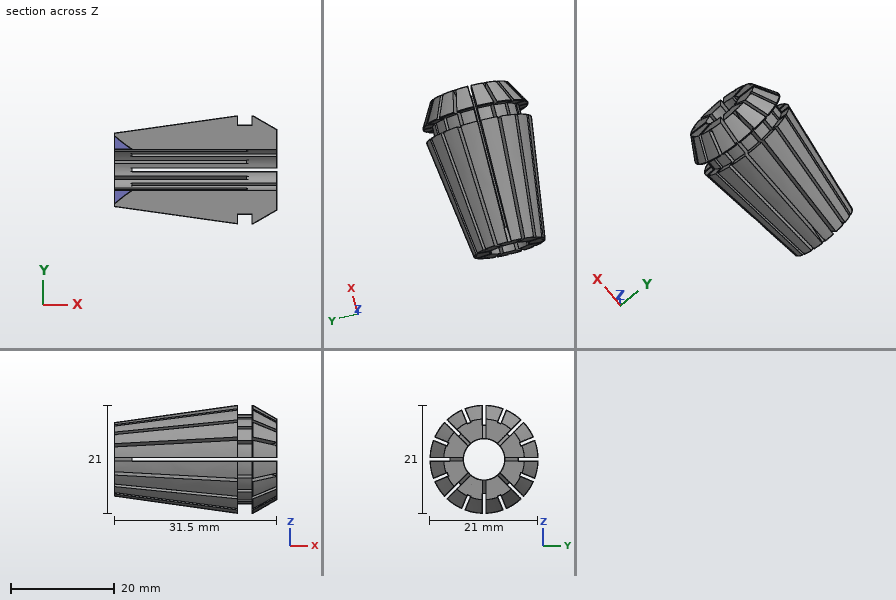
import cadquery as cq
import math

length = 31.5
outer_radius = 10.5
bore_radius = 4.0

body_length = 23.9
body_taper_angle = 8.0
neck_length = 2.77
neck_radius = 8.65
rim_width = 0.2
head_taper_angle = 30.0

slot_width = 0.7
slots_per_set = 8
saw_radius = 31.5
narrow_web_length = 3.45
narrow_web_radius = 6.65
wide_web_length = 5.9
wide_web_radius = 7.62

head_start = body_length + neck_length
head_taper_start = head_start + rim_width
narrow_radius = outer_radius - body_length * math.tan(math.radians(body_taper_angle))
wide_radius = outer_radius - (length - head_taper_start) * math.tan(math.radians(head_taper_angle))
slot_pitch = 360.0 / slots_per_set
slot_floor_radius = math.sqrt(bore_radius**2 - (slot_width / 2) ** 2)
clear_radius = outer_radius + slot_width


def collet_blank():
    """Revolve the wall between the bore and the outer profile around X."""
    return (
        cq.Workplane("XY")
        .moveTo(0, bore_radius)
        .lineTo(0, narrow_radius)
        .lineTo(body_length, outer_radius)
        .lineTo(body_length, neck_radius)
        .lineTo(head_start, neck_radius)
        .lineTo(head_start, outer_radius)
        .lineTo(head_taper_start, outer_radius)
        .lineTo(length, wide_radius)
        .lineTo(length, bore_radius)
        .close()
        .revolve(360, (0, 0, 0), (1, 0, 0))
    )


def slot_cutter(web_length, web_radius):
    """Slot-wide slab on +Y, with its web at X = 0 and open at the opposite end."""
    return (
        cq.Workplane("XY")
        .moveTo(0, web_radius)
        .radiusArc((web_length, slot_floor_radius), -saw_radius)
        .lineTo(web_length, 0)
        .lineTo(length, 0)
        .lineTo(length, clear_radius)
        .lineTo(0, clear_radius)
        .close()
        .extrude(slot_width / 2, both=True)
    )


def cut_slots(body, cutter, first_angle):
    """Cut the ring of equally spaced slots that starts at first_angle."""
    for index in range(slots_per_set):
        angle = first_angle + index * slot_pitch
        body = body.cut(cutter.rotate((0, 0, 0), (1, 0, 0), angle))
    return body


wide_end_slot = slot_cutter(narrow_web_length, narrow_web_radius)
narrow_end_slot = slot_cutter(wide_web_length, wide_web_radius).mirror("YZ").translate((length, 0, 0))

result = cut_slots(collet_blank(), wide_end_slot, 0)
result = cut_slots(result, narrow_end_slot, slot_pitch / 2)